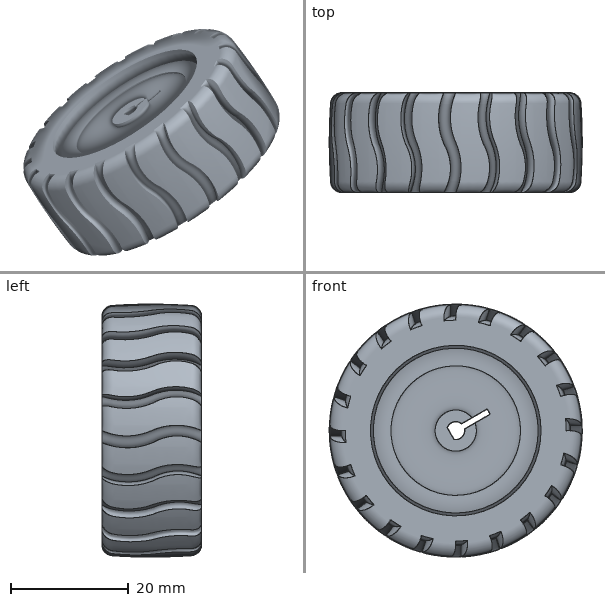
import cadquery as cq
import math


tire_radius = 21.5
tire_width = 17.0
half_width = tire_width / 2
crown_arc_radius = 100.0
shoulder_radius = 1.98

groove_count = 20
groove_width = 2.0
groove_depth = 1.98
groove_floor_crown_half = 6.55
groove_floor_end_radius = 5.0
leading_edge_sag = 0.9
trailing_back_sag = 0.9
trailing_front_sag = 1.1
trailing_seam_shift = 0.2
groove_cutter_start = 17.2
groove_cutter_overshoot = 0.45

bore_radius = 28.0 / 2
mouth_radius = 29.0 / 2
mouth_depth = 3.0

rim_inset = 2.0
rim_inner_radius = 27.0 / 2
web_thickness = 0.6
dish_radius = 22.0 / 2
dish_depth = 0.3
boss_radius = 7.0 / 2
boss_inset = 1.6
rib_thickness = 1.0
axle_radius = 1.5
axle_flat_distance = 1.0
key_slot_width = 1.0
key_slot_reach = 6.45
key_slot_angle = 30.0


def disc(radius, y_start, y_end):
    """Solid cylinder about the Y axis between two Y positions."""
    return cq.Workplane("XZ", origin=(0, y_start, 0)).circle(radius).extrude(y_start - y_end)


def crowned_body(crown_arc, edge_y, end_arc):
    """Body revolved about Y: a crown arc about the tread's crown centre, then a tangent arc at each end.

    The crown runs to edge_y either side of the middle, and the end arcs run on to the flat faces.
    """
    crown_center_r = tire_radius - crown_arc_radius
    edge_angle = math.asin(edge_y / crown_arc)
    edge_r = crown_center_r + crown_arc * math.cos(edge_angle)

    end_center_y = edge_y - end_arc * math.sin(edge_angle)
    end_center_r = edge_r - end_arc * math.cos(edge_angle)
    face_angle = math.asin(min(1, (half_width - end_center_y) / end_arc))
    face_r = end_center_r + end_arc * math.cos(face_angle)
    middle_angle = (edge_angle + face_angle) / 2
    middle_y = end_center_y + end_arc * math.sin(middle_angle)
    middle_r = end_center_r + end_arc * math.cos(middle_angle)

    return (
        cq.Workplane("XY")
        .moveTo(0, -half_width)
        .lineTo(face_r, -half_width)
        .threePointArc((middle_r, -middle_y), (edge_r, -edge_y))
        .threePointArc((crown_center_r + crown_arc, 0), (edge_r, edge_y))
        .threePointArc((middle_r, middle_y), (face_r, half_width))
        .lineTo(0, half_width)
        .close()
        .revolve(360, (0, 0, 0), (0, 1, 0))
    )


def tire_blank():
    """Tire with a crowned tread and shoulder fillets tangent to the tread and the flat faces."""
    fillet_center_y = half_width - shoulder_radius
    crown_edge_y = fillet_center_y * crown_arc_radius / (crown_arc_radius - shoulder_radius)
    return crowned_body(crown_arc_radius, crown_edge_y, shoulder_radius)


def groove_floor():
    """Core that the grooves reach down to."""
    return crowned_body(crown_arc_radius - groove_depth, groove_floor_crown_half, groove_floor_end_radius)


def groove_ribbon():
    """S-shaped ribbon across the top of the tread, trimmed to leave the groove floor."""
    quarter = half_width / 2
    seam_y = -trailing_seam_shift
    trailing_x = -groove_width
    front_bulge = (trailing_x + trailing_front_sag, (seam_y - half_width) / 2)
    back_bulge = (trailing_x - trailing_back_sag, (seam_y + half_width) / 2)
    height = tire_radius - groove_cutter_start + groove_cutter_overshoot
    return (
        cq.Workplane("XY", origin=(0, 0, groove_cutter_start))
        .moveTo(0, half_width)
        .threePointArc((-leading_edge_sag, quarter), (0, 0))
        .threePointArc((leading_edge_sag, -quarter), (0, -half_width))
        .lineTo(trailing_x, -half_width)
        .threePointArc(front_bulge, (trailing_x, seam_y))
        .threePointArc(back_bulge, (trailing_x, half_width))
        .close()
        .extrude(height)
        .cut(groove_floor())
    )


def make_tire():
    """Tire with its tread grooves, a bore for the wheel and a wider mouth at each end of the bore."""
    tire = tire_blank()
    ribbon = groove_ribbon()
    for i in range(groove_count):
        tire = tire.cut(ribbon.rotate((0, 0, 0), (0, 1, 0), i * 360 / groove_count))
    mouth_floor_y = half_width - mouth_depth
    tire = tire.cut(disc(bore_radius, -half_width, half_width))
    tire = tire.cut(disc(mouth_radius, -half_width, -mouth_floor_y))
    return tire.cut(disc(mouth_radius, mouth_floor_y, half_width))


def axle_hole(length):
    """D-shaped axle hole with a key slot opposite its flat, turned to the slot's angle."""
    flat_cutter = cq.Workplane("XY").box(axle_radius, length, 2 * axle_radius)
    flat_cutter = flat_cutter.translate((-axle_flat_distance - axle_radius / 2, 0, 0))
    key_slot = cq.Workplane("XY").box(key_slot_reach, length, key_slot_width)
    key_slot = key_slot.translate((key_slot_reach / 2, 0, 0))
    hole = disc(axle_radius, -length / 2, length / 2).cut(flat_cutter).union(key_slot)
    return hole.rotate((0, 0, 0), (0, 1, 0), -key_slot_angle)


def cross_rib(y_start, y_end):
    """Straight rib along X that ties the rim to the boss on both sides."""
    rib = cq.Workplane("XY").box(2 * bore_radius, y_end - y_start, rib_thickness)
    return rib.translate((0, (y_start + y_end) / 2, 0)).intersect(disc(bore_radius, y_start, y_end))


def make_wheel():
    """Cup-shaped wheel: a rim, a thin dished web across its front, a cross rib and a central boss."""
    rim_y = half_width - rim_inset
    boss_y = half_width - boss_inset
    wheel = disc(bore_radius, -rim_y, rim_y)
    wheel = wheel.cut(disc(rim_inner_radius, -rim_y + web_thickness, rim_y))
    wheel = wheel.cut(disc(dish_radius, -rim_y, -rim_y + dish_depth))
    wheel = wheel.union(cross_rib(-rim_y + dish_depth, rim_y))
    wheel = wheel.union(disc(boss_radius, -boss_y, boss_y))
    return wheel.cut(axle_hole(tire_width))


tire = make_tire()
wheel = make_wheel()

result = cq.Compound.makeCompound([tire.val(), wheel.val()])